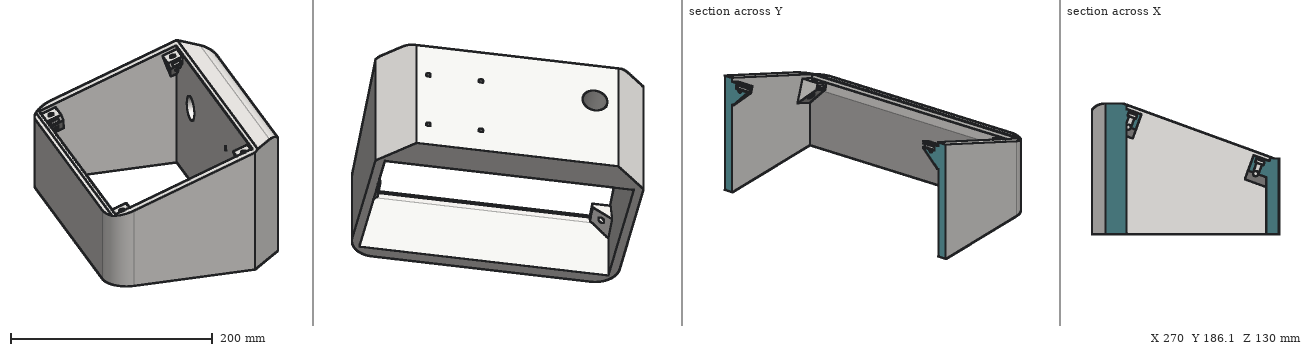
import cadquery as cq
import math

width = 270.0
length = 186.09
height = 130.0
front_height = 75.5
front_corner_radius = 25.0
left_chamfer = 31.5
right_chamfer = 35.0

slope_angle = math.radians(20.0)
slope_top_y = 155.1
slope_front_y = slope_top_y - (height - front_height) / math.tan(slope_angle)
rear_round_radius = 17.0
rear_round_run = 13.1

opening_width = 251.2
opening_start = 4.2
opening_length = 151.5
opening_end = opening_start + opening_length
panel_depth = 4.0

cavity_front_y = 13.2
cavity_rear_y = 151.8
front_ledge = 1.0
front_bevel_height = 9.0

block_width = 18.5
block_length = 16.6
block_thickness = 7.0
block_wall_overlap = 8.0
screw_diameter = 5.3
screw_side_inset = 9.0
screw_end_inset = 8.4
nut_width = 8.5
nut_slot_top = 2.5
nut_slot_bottom = 6.0

cable_hole_diameter = 25.0
cable_hole_x = -80.0
cable_hole_z = 80.0
mount_hole_diameter = 4.5
mount_hole_x = (35.0, 88.0)
mount_hole_z = (25.5, 88.0)

cut_overlap = 1.0

half_width = width / 2
half_opening = opening_width / 2

slope_plane = cq.Plane(
    origin=(0, slope_top_y, height),
    xDir=(1, 0, 0),
    normal=(0, -math.sin(slope_angle), math.cos(slope_angle)),
)


def slope_point(distance, depth):
    """(y, z) of a point a distance down the slope and a depth square below it."""
    y = slope_top_y - distance * math.cos(slope_angle) + depth * math.sin(slope_angle)
    z = height - distance * math.sin(slope_angle) - depth * math.cos(slope_angle)
    return y, z


def extrude_along_x(profile, span):
    """Extrude a closed YZ profile symmetrically about X = 0."""
    return profile.extrude(span / 2, both=True)


def make_outer():
    """Side profile with the sloping top, trimmed to the plan outline."""
    def rear_round_z(run):
        return height - rear_round_radius + math.sqrt(rear_round_radius**2 - run**2)

    half_run = rear_round_run / 2
    side = (
        cq.Workplane("YZ")
        .moveTo(0, 0)
        .lineTo(0, front_height)
        .lineTo(slope_front_y, front_height)
        .lineTo(slope_top_y, height)
        .lineTo(length - rear_round_run, height)
        .threePointArc((length - half_run, rear_round_z(half_run)), (length, rear_round_z(rear_round_run)))
        .lineTo(length, 0)
        .close()
    )
    plan = (
        cq.Workplane("XY")
        .moveTo(-half_width + front_corner_radius, 0)
        .lineTo(half_width - front_corner_radius, 0)
        .radiusArc((half_width, front_corner_radius), -front_corner_radius)
        .lineTo(half_width, length - right_chamfer)
        .lineTo(half_width - right_chamfer, length)
        .lineTo(-half_width + left_chamfer, length)
        .lineTo(-half_width, length - left_chamfer)
        .lineTo(-half_width, front_corner_radius)
        .radiusArc((-half_width + front_corner_radius, 0), -front_corner_radius)
        .close()
        .extrude(height)
    )
    return extrude_along_x(side, width).intersect(plan)


def make_cavity():
    """Opening square to the slope, running into an upright cavity open at the bottom."""
    clearance = -panel_depth
    rear_edge_y = slope_point(opening_start, 0)[0]
    rear_lip_depth = (cavity_rear_y - rear_edge_y) / math.sin(slope_angle)
    ledge_y, ledge_z = slope_point(opening_end - front_ledge, panel_depth)
    profile = (
        cq.Workplane("YZ")
        .moveTo(cavity_front_y, 0)
        .lineTo(cavity_front_y, ledge_z - front_bevel_height)
        .lineTo(ledge_y, ledge_z)
        .lineTo(*slope_point(opening_end, panel_depth))
        .lineTo(*slope_point(opening_end, clearance))
        .lineTo(*slope_point(opening_start, clearance))
        .lineTo(*slope_point(opening_start, rear_lip_depth))
        .lineTo(cavity_rear_y, 0)
        .close()
    )
    return extrude_along_x(profile, opening_width)


def make_block(side, start, end):
    """Screw block on one side wall (side = -1 or 1) with a 45 degree underside."""
    wall_x = side * (half_opening + cut_overlap)
    inner_x = side * (half_opening - block_width)
    bottom = panel_depth + block_thickness
    profile_plane = cq.Plane(
        origin=slope_plane.toWorldCoords((0, -start, 0)).toTuple(),
        xDir=(1, 0, 0),
        normal=(-slope_plane.yDir).toTuple(),
    )
    return (
        cq.Workplane(profile_plane)
        .moveTo(wall_x, -panel_depth)
        .lineTo(inner_x, -panel_depth)
        .lineTo(inner_x, -bottom)
        .lineTo(wall_x, -bottom - abs(wall_x - inner_x))
        .close()
        .extrude(end - start)
    )


def make_screw_cut(side, distance):
    """Screw hole through a block and the nut slot that opens on its inner face."""
    screw_x = side * (half_opening - screw_side_inset)
    inner_x = side * (half_opening - block_width)
    slot_end_x = screw_x + side * nut_width / 2
    hole = (
        cq.Workplane(slope_plane)
        .workplane(offset=-panel_depth)
        .center(screw_x, -distance)
        .circle(screw_diameter / 2)
        .extrude(-block_thickness - block_width)
    )
    slot = (
        cq.Workplane(slope_plane)
        .workplane(offset=-panel_depth - nut_slot_top)
        .center((inner_x + slot_end_x) / 2, -distance)
        .rect(abs(slot_end_x - inner_x), nut_width)
        .extrude(nut_slot_top - nut_slot_bottom)
    )
    return hole.union(slot)


def make_rear_hole(x, z, diameter):
    """Cylinder along Y through the rear wall."""
    return (
        cq.Workplane("XZ", origin=(x, cavity_rear_y - cut_overlap, z))
        .circle(diameter / 2)
        .extrude(-(length - cavity_rear_y + 2 * cut_overlap))
    )


outer = make_outer()
result = outer.cut(make_cavity())

rear_block_end = opening_start + block_length
front_block_start = opening_end - block_length
for side in (-1, 1):
    rear_block = make_block(side, opening_start, rear_block_end)
    rear_block = rear_block.cut(make_screw_cut(side, opening_start + screw_end_inset))
    front_block = make_block(side, front_block_start, opening_end + block_wall_overlap)
    front_block = front_block.cut(make_screw_cut(side, opening_end - screw_end_inset))
    result = result.union(rear_block.intersect(outer)).union(front_block.intersect(outer))

result = result.cut(make_rear_hole(cable_hole_x, cable_hole_z, cable_hole_diameter))
for x in mount_hole_x:
    for z in mount_hole_z:
        result = result.cut(make_rear_hole(x, z, mount_hole_diameter))